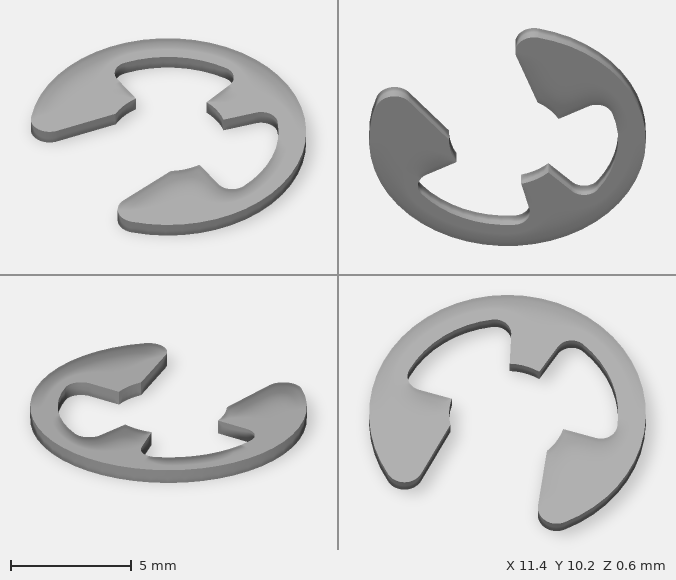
import cadquery as cq
import math

outer_radius = 5.72
thickness = 0.6
bore_radius = 2.42
pocket_radius = 4.58
pocket_corner_radius = 0.69
tooth_half_width = 0.64
tooth_flare = 15.0
seat_end_angle = 30.0
mouth_flare = 9.6
prong_tip_radius = 0.78


def disc(radius):
    return cq.Workplane("XY").circle(radius).extrude(thickness)


def make_pockets():
    """Upper half disc split by the tooth, with rounded outer corners."""
    half_disc = (
        cq.Workplane("XY")
        .moveTo(-pocket_radius, 0)
        .threePointArc((0, pocket_radius), (pocket_radius, 0))
        .close()
        .extrude(thickness)
    )
    flare = math.tan(math.radians(tooth_flare))
    tooth_base_y = math.sqrt(bore_radius**2 - tooth_half_width**2)
    flank_apex_y = tooth_base_y - tooth_half_width / flare
    tooth_top_y = outer_radius
    tooth_top_half_width = (tooth_top_y - flank_apex_y) * flare
    tooth = (
        cq.Workplane("XY")
        .moveTo(0, flank_apex_y)
        .lineTo(tooth_top_half_width, tooth_top_y)
        .lineTo(-tooth_top_half_width, tooth_top_y)
        .close()
        .extrude(thickness)
    )
    split = half_disc.cut(tooth)
    corners = [
        edge for edge in split.edges("|Z").vals()
        if math.hypot(edge.Center().x, edge.Center().y) > bore_radius
    ]
    return split.newObject(corners).fillet(pocket_corner_radius)


def make_mouth():
    """Opening between the prongs, widening away from the bore."""
    seat_end = math.radians(seat_end_angle)
    start_half_width = bore_radius * math.cos(seat_end)
    start_y = -bore_radius * math.sin(seat_end)
    end_y = -outer_radius
    end_half_width = start_half_width + (start_y - end_y) * math.tan(math.radians(mouth_flare))
    return (
        cq.Workplane("XY")
        .moveTo(-start_half_width, start_y)
        .lineTo(start_half_width, start_y)
        .lineTo(end_half_width, end_y)
        .lineTo(-end_half_width, end_y)
        .close()
        .extrude(thickness)
    )


clip = disc(outer_radius).cut(make_mouth())
clip = clip.edges("|Z").edges("<Y").fillet(prong_tip_radius)
result = clip.cut(disc(bore_radius)).cut(make_pockets())